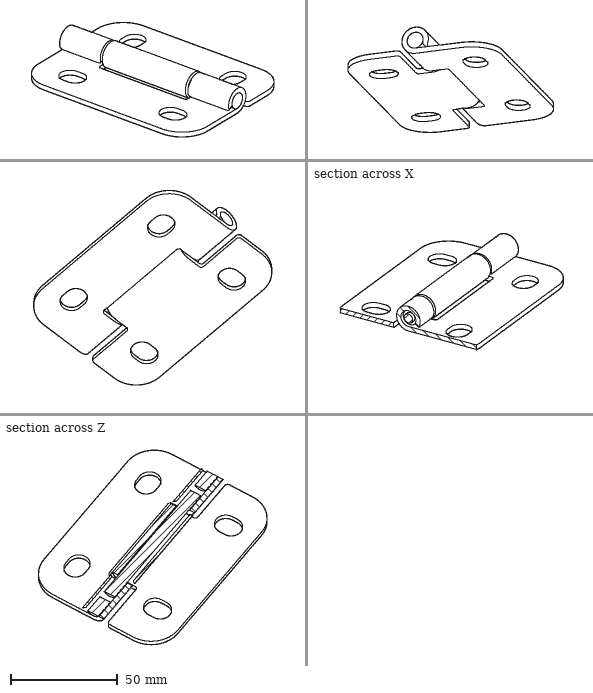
import cadquery as cq
import math

HINGE_LENGTH = 100.4
HINGE_WIDTH = 75.4
SHEET = 2.6
PIN_DIAMETER = 7.8
GROOVE_DIAMETER = 4.9
GROOVE_WIDTH = 3.5
CENTER_CLEARANCE = 0.22
END_CLEARANCE = 0.05

CENTER_KNUCKLE_LENGTH = 49.4
KNUCKLE_GAP = 1.3
EDGE_DISTANCE = 7.9
CURL_END_ANGLE = 28.0

CORNER_RADIUS = 15.0
NOTCH_RADIUS = 1.3
EDGE_RADIUS = 1.6
CURL_CORNER_RADIUS = 1.4

SLOT_LENGTH = 13.7
SLOT_WIDTH = 10.7
SLOT_SPACING = 59.5
SLOT_DISTANCE = 22.7

HALF_LENGTH = HINGE_LENGTH / 2
HALF_WIDTH = HINGE_WIDTH / 2
PIN_RADIUS = PIN_DIAMETER / 2
CENTER_BORE_RADIUS = PIN_RADIUS + CENTER_CLEARANCE
END_BORE_RADIUS = PIN_RADIUS + END_CLEARANCE
CENTER_HALF = CENTER_KNUCKLE_LENGTH / 2
NOTCH_HALF = CENTER_HALF + KNUCKLE_GAP
BOTTOM_ANGLE = 270
ARC_MIDDLE_ANGLE = (BOTTOM_ANGLE - CURL_END_ANGLE) / 2
END_KNUCKLE_CENTER = (NOTCH_HALF + HALF_LENGTH) / 2


def curl(bore_radius, x_start, x_end, side):
    """Sheet rolled round the axis, with a flat tail to EDGE_DISTANCE on one side (+1 or -1 in Y)."""
    outer_radius = bore_radius + SHEET
    end_angle = math.radians(CURL_END_ANGLE)
    mid_angle = math.radians(ARC_MIDDLE_ANGLE)

    def on_circle(radius, angle):
        return (side * radius * math.cos(angle), radius * math.sin(angle))

    strip = (
        cq.Workplane("YZ", origin=(x_start, 0, 0))
        .moveTo(side * EDGE_DISTANCE, -outer_radius)
        .lineTo(0, -outer_radius)
        .threePointArc(on_circle(outer_radius, mid_angle), on_circle(outer_radius, -end_angle))
        .lineTo(*on_circle(bore_radius, -end_angle))
        .threePointArc(on_circle(bore_radius, mid_angle), (0, -bore_radius))
        .lineTo(side * EDGE_DISTANCE, -bore_radius)
        .close()
        .extrude(x_end - x_start)
    )
    return round_curl_end(strip, bore_radius + SHEET / 2, on_circle, end_angle, x_start, x_end)


def round_curl_end(strip, middle_radius, on_circle, end_angle, x_start, x_end):
    """Round the two corners at the free end of a curl."""
    end_y, end_z = on_circle(middle_radius, -end_angle)
    corners = [
        strip.edges(cq.selectors.NearestToPointSelector((x, end_y, end_z))).val()
        for x in (x_start, x_end)
    ]
    return strip.newObject(corners).fillet(CURL_CORNER_RADIUS)


def plate(bore_radius, side):
    """Flat part of a leaf, from EDGE_DISTANCE outwards, with large outer corners."""
    depth = HALF_WIDTH - EDGE_DISTANCE
    blank = cq.Workplane("XY").box(HINGE_LENGTH, depth, SHEET)
    blank = blank.edges("|Z and >Y" if side > 0 else "|Z and <Y").fillet(CORNER_RADIUS)
    return blank.translate((0, side * (EDGE_DISTANCE + depth / 2), -bore_radius - SHEET / 2))


def round_notch_corners(leaf, half_span, side):
    """Fillet the inside corners where the curls leave the plate."""
    z_middle = leaf.val().BoundingBox().zmin + SHEET / 2
    corners = [
        leaf.edges(cq.selectors.NearestToPointSelector((x, side * EDGE_DISTANCE, z_middle))).val()
        for x in (-half_span, half_span)
    ]
    return leaf.newObject(corners).fillet(NOTCH_RADIUS)


def cut_slots(leaf, side, angle):
    """Cut the pair of mounting slots through a leaf; angle 0 lays them along X, 90 along Y."""
    slots = (
        cq.Workplane("XY")
        .pushPoints([(x, side * SLOT_DISTANCE) for x in (-SLOT_SPACING / 2, SLOT_SPACING / 2)])
        .slot2D(SLOT_LENGTH, SLOT_WIDTH, angle)
        .extrude(HINGE_WIDTH, both=True)
    )
    return leaf.cut(slots)


def make_center_leaf():
    """Leaf on the +Y side, carrying the single center knuckle."""
    base = plate(CENTER_BORE_RADIUS, 1)
    base = base.edges("|Z and <Y").fillet(EDGE_RADIUS)
    leaf = base.union(curl(CENTER_BORE_RADIUS, -CENTER_HALF, CENTER_HALF, 1))
    leaf = round_notch_corners(leaf, CENTER_HALF, 1)
    return cut_slots(leaf, 1, 90)


def make_outer_leaf():
    """Leaf on the -Y side, carrying the two end knuckles that hold the pin."""
    leaf = plate(END_BORE_RADIUS, -1)
    for x_start, x_end in ((-HALF_LENGTH, -NOTCH_HALF), (NOTCH_HALF, HALF_LENGTH)):
        leaf = leaf.union(curl(END_BORE_RADIUS, x_start, x_end, -1))
    leaf = round_notch_corners(leaf, NOTCH_HALF, -1)
    return cut_slots(leaf, -1, 0)


def make_pin():
    """Hinge pin, flush with both ends, with a groove in the middle of each end knuckle."""
    pin_body = cq.Workplane("YZ", origin=(-HALF_LENGTH, 0, 0)).circle(PIN_RADIUS).extrude(HINGE_LENGTH)
    for x_center in (-END_KNUCKLE_CENTER, END_KNUCKLE_CENTER):
        groove = (
            cq.Workplane("YZ", origin=(x_center - GROOVE_WIDTH / 2, 0, 0))
            .circle(PIN_RADIUS)
            .circle(GROOVE_DIAMETER / 2)
            .extrude(GROOVE_WIDTH)
        )
        pin_body = pin_body.cut(groove)
    return pin_body


center_leaf = make_center_leaf()
outer_leaf = make_outer_leaf()
pin = make_pin()

result = cq.Compound.makeCompound([
    center_leaf.solids().val(),
    outer_leaf.solids().val(),
    pin.solids().val(),
])